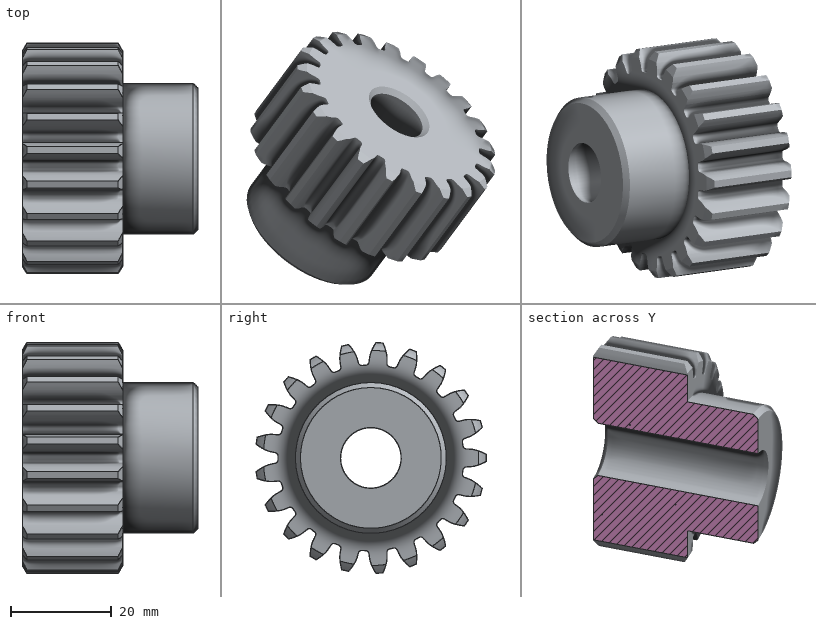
import cadquery as cq
import math

module = 2.0
tooth_count = 21
pressure_angle = math.radians(20)
dedendum_factor = 1.25

gear_width = 20.0
hub_length = 15.0
hub_radius = 15.0
hub_chamfer = 1.0
bore_radius = 6.0
bore_chamfer = 1.0
root_fillet = 0.65
root_land = 0.75
flank_joint_radius = 21.3
flank_end_radius = 20.2
tip_chamfer_depth = 1.6
tip_chamfer_angle = math.radians(30)

pitch_radius = module * tooth_count / 2
tip_radius = pitch_radius + module
root_radius = pitch_radius - dedendum_factor * module
base_radius = pitch_radius * math.cos(pressure_angle)
tooth_pitch = 2 * math.pi / tooth_count
total_length = gear_width + hub_length
tip_chamfer_length = tip_chamfer_depth * math.tan(tip_chamfer_angle)


def involute(angle):
    return math.tan(angle) - angle


def half_tooth_angle(radius):
    """Angle from the tooth centre line to the involute flank at a radius."""
    flank_angle = math.acos(base_radius / radius)
    return tooth_pitch / 4 + involute(pressure_angle) - involute(flank_angle)


def polar(radius, angle):
    return (radius * math.cos(angle), radius * math.sin(angle))


def flank_point(radius, side, direction):
    """Point on an involute flank; side is +1 or -1 about the tooth centre direction."""
    return polar(radius, direction + side * half_tooth_angle(radius))


def root_points(side, direction):
    """Start, middle and end of the root fillet on one side of a tooth."""
    fillet_centre_radius = root_radius + root_fillet
    fillet_centre_angle = (tooth_pitch - root_land / root_radius) / 2
    centre_y, centre_z = polar(fillet_centre_radius, fillet_centre_angle)
    flank_y, flank_z = flank_point(flank_end_radius, 1, 0)
    to_flank_angle = math.atan2(flank_z - centre_z, flank_y - centre_y)
    to_flank_length = math.hypot(flank_y - centre_y, flank_z - centre_z)
    start_angle = to_flank_angle - math.acos(root_fillet / to_flank_length)
    end_angle = fillet_centre_angle - math.pi
    points = []
    for angle in (start_angle, (start_angle + end_angle) / 2, end_angle):
        offset_y, offset_z = polar(root_fillet, angle)
        y = centre_y + offset_y
        z = centre_z + offset_z
        points.append(polar(math.hypot(y, z), direction + side * math.atan2(z, y)))
    return points


def toothed_blank():
    """Extruded outline: tip arcs, two-arc involute flanks, straight feet and filleted roots."""
    upper_mid_radius = (tip_radius + flank_joint_radius) / 2
    lower_mid_radius = (flank_joint_radius + flank_end_radius) / 2

    outline = cq.Workplane("YZ").moveTo(*flank_point(tip_radius, -1, 0))
    for tooth in range(tooth_count):
        this = tooth * tooth_pitch
        following = this + tooth_pitch
        fall_start, fall_mid, fall_end = root_points(1, this)
        rise_end, rise_mid, rise_start = root_points(-1, following)

        def fall(radius):
            return flank_point(radius, 1, this)

        def rise(radius):
            return flank_point(radius, -1, following)

        outline = (
            outline.threePointArc(polar(tip_radius, this), fall(tip_radius))
            .threePointArc(fall(upper_mid_radius), fall(flank_joint_radius))
            .threePointArc(fall(lower_mid_radius), fall(flank_end_radius))
            .lineTo(*fall_start)
            .threePointArc(fall_mid, fall_end)
            .threePointArc(polar(root_radius, this + tooth_pitch / 2), rise_start)
            .threePointArc(rise_mid, rise_end)
            .lineTo(*rise(flank_end_radius))
            .threePointArc(rise(lower_mid_radius), rise(flank_joint_radius))
            .threePointArc(rise(upper_mid_radius), rise(tip_radius))
        )
    return outline.close().extrude(gear_width)


def revolved(points):
    """Solid of revolution about X from (x, radius) points."""
    return cq.Workplane("XZ").polyline(points).close().revolve(360, (0, 0, 0), (1, 0, 0))


def tooth_end_envelope():
    """Turned envelope that bevels the tooth tips at both ends."""
    end_radius = tip_radius - tip_chamfer_depth
    clearance = 1.0
    slope_run = clearance * math.tan(tip_chamfer_angle)
    return revolved(
        [
            (0, 0),
            (0, end_radius),
            (tip_chamfer_length + slope_run, tip_radius + clearance),
            (gear_width - tip_chamfer_length - slope_run, tip_radius + clearance),
            (gear_width, end_radius),
            (gear_width, 0),
        ]
    )


def hub():
    """Solid hub with a chamfered free end."""
    return revolved(
        [
            (gear_width, 0),
            (gear_width, hub_radius),
            (total_length - hub_chamfer, hub_radius),
            (total_length, hub_radius - hub_chamfer),
            (total_length, 0),
        ]
    )


def bore():
    """Through bore, chamfered at the toothed face."""
    return revolved(
        [
            (0, 0),
            (0, bore_radius + bore_chamfer),
            (bore_chamfer, bore_radius),
            (total_length, bore_radius),
            (total_length, 0),
        ]
    )


gear = toothed_blank().intersect(tooth_end_envelope())
result = gear.union(hub()).cut(bore())